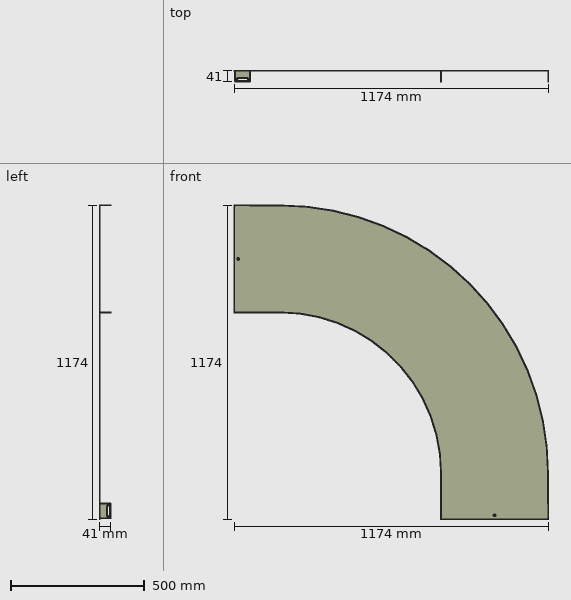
import cadquery as cq

overall = 1174.0
depth = 41.0

sheet = 1.0
inner_radius = 600.0
width = 400.0
outer_radius = inner_radius + width

tab_length = 56.0
tab_end_gap = 4.0
tab_corner_radius = 4.0

slot_length = 42.0
slot_width = 9.2
slot_tip_distance = 8.8

hole_diameter = 6.3
hole_end_distance = 15.0

outer_edge = overall - sheet
inner_edge = outer_edge - width
middle = outer_edge - width / 2
straight = outer_edge - outer_radius


def make_sheet():
    """Flat quarter bend with straight ends, back face on y = 0."""
    outline = (
        cq.Workplane("XZ")
        .moveTo(0, inner_edge)
        .lineTo(0, outer_edge)
        .lineTo(straight, outer_edge)
        .radiusArc((outer_edge, straight), outer_radius)
        .lineTo(outer_edge, 0)
        .lineTo(inner_edge, 0)
        .lineTo(inner_edge, straight)
        .radiusArc((straight, inner_edge), -inner_radius)
        .close()
        .extrude(sheet)
    )
    holes = (
        cq.Workplane("XZ")
        .pushPoints([(hole_end_distance, middle), (middle, hole_end_distance)])
        .circle(hole_diameter / 2)
        .extrude(sheet)
    )
    return outline.cut(holes)


def make_tab(bottom):
    """Slotted tab on the x = 0 end, with its lower face at z = bottom."""
    tab = (
        cq.Workplane("XY", origin=(tab_end_gap + tab_length / 2, -depth / 2, bottom))
        .rect(tab_length, depth)
        .extrude(sheet)
        .edges("|Z and <Y")
        .fillet(tab_corner_radius)
    )
    slot = (
        cq.Workplane("XY", origin=(tab_end_gap + tab_length / 2, slot_tip_distance - depth, bottom))
        .slot2D(slot_length, slot_width)
        .extrude(sheet)
    )
    return tab.cut(slot)


def swap_x_and_z(shape):
    """Reflect a shape about the diagonal plane x = z."""
    return shape.mirror("YZ").rotate((0, 0, 0), (0, 1, 0), 90)


result = make_sheet()
for bottom in (outer_edge, inner_edge):
    tab = make_tab(bottom)
    result = result.union(tab).union(swap_x_and_z(tab))